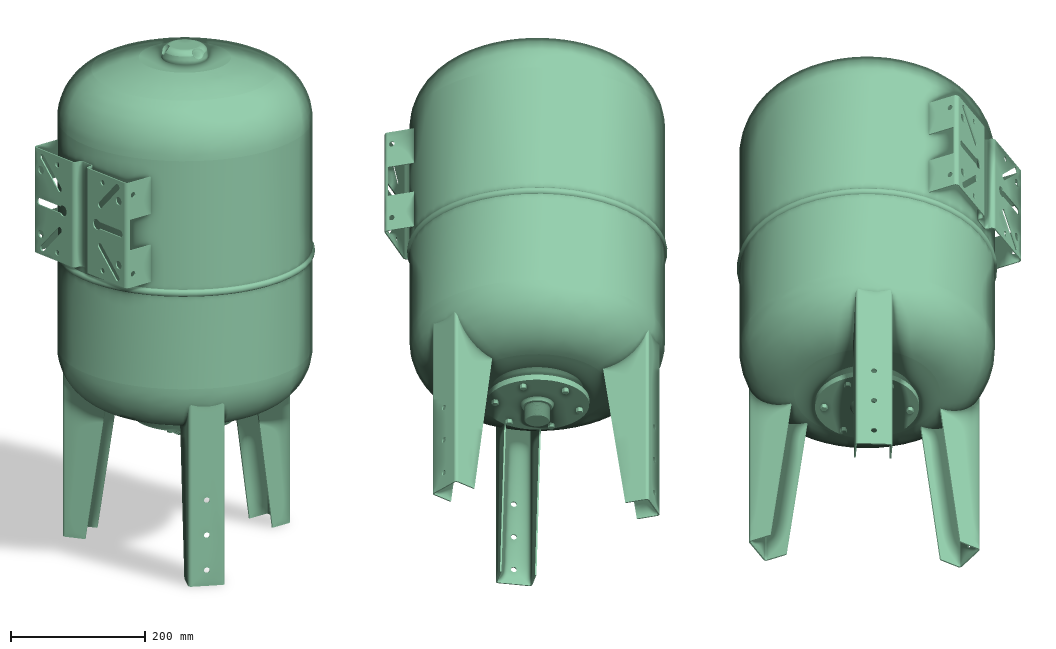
import cadquery as cq

TANK_DIAMETER = 380.0
TANK_RADIUS = TANK_DIAMETER / 2
UPPER_SHOULDER_Z = 674.0
UPPER_CROWN_RADIUS = 139.0
UPPER_CROWN_Z = 752.0
DOME_FLAT_RADIUS = 69.0
DOME_TOP_Z = 771.0
LOWER_SHOULDER_RADIUS = 81.5
LOWER_SHOULDER_Z = 314.0
TANK_BOTTOM_Z = LOWER_SHOULDER_Z - LOWER_SHOULDER_RADIUS
SEAM_Z = 465.5
SEAM_HALF_HEIGHT = 5.5
SEAM_RADIUS = 194.0

CAP_TOP_Z = 790.5
CAP_BASE_RADIUS = 35.0
CAP_EDGE_RADIUS = 33.0
CAP_EDGE_Z = 783.0
CAP_ROUND_RADIUS = 30.0
CAP_ROUND_Z = 787.0
CAP_TOP_RADIUS = 22.0
SCOOP_COUNT = 3
SCOOP_RADIUS = 14.0
SCOOP_DISTANCE = 38.0

LEG_COUNT = 3
FIRST_LEG_ANGLE = 90
LEG_WIDTH = 55.0
LEG_OUTER_DISTANCE = 184.0
LEG_FOOT_DEPTH = 36.0
LEG_TAPER_RUN = 35.0
LEG_BLANK_HEIGHT = 300
LEG_SHEET = 2.0
LEG_BEND_RADIUS = 5.0
LEG_HOLE_DIAMETER = 9.0
LEG_HOLE_COUNT = 3
LEG_LOWEST_HOLE_Z = 24.5
LEG_HOLE_PITCH = 55.0

BRACKET_WIDTH = 215.0
BRACKET_HEIGHT = 166
BRACKET_CENTRE_Z = 564.0
BRACKET_FRONT_Y = -205.0
BRACKET_BACK_Y = -142
BRACKET_SHEET = 2.0
BRACKET_BEND_RADIUS = 6.0
CHANNEL_WIDTH = 25.0
CHANNEL_BEND_RADIUS = 4.0
CHANNEL_FLOOR_Y = -191.0
WINDOW_HEIGHT = 49.0
SIDE_HOLE_DIAMETER = 9.0
SIDE_HOLE_Y = -192.0
SIDE_HOLE_RISE = 62.5
SMALL_HOLE_DIAMETER = 9.0
SMALL_HOLE_X = 52.0
SMALL_HOLE_RISE = 69.5
LARGE_HOLE_DIAMETER = 13.0
LARGE_HOLE_X = 89.0
LARGE_HOLE_RISE = 50.5
DIAGONAL_SLOT_WIDTH = 9.5
DIAGONAL_SLOT_ANGLE = 45
DIAGONAL_SLOT_LENGTH = 66.0
DIAGONAL_SLOT_X = 66.5
DIAGONAL_SLOT_RISE = 52.0
KEYHOLE_DIAMETER = 16.5
KEYHOLE_X = 39.0
KEYHOLE_SLOT_WIDTH = 11.0
KEYHOLE_SLOT_END_X = 92.5

NECK_RADIUS = 54.0
NECK_FLARE_MID_RADIUS = 59.0
NECK_FLARE_MID_Z = 223.0
FLANGE_RADIUS = 77.5
COLLAR_TOP_Z = 215.0
COVER_TOP_Z = 209.0
COVER_BOTTOM_Z = 206.0
BOLT_COUNT = 6
BOLT_CIRCLE_RADIUS = 64.0
BOLT_DIAMETER = 6.0
BOLT_TOP_Z = 220.5
BOLT_HEAD_SIDES = 6
BOLT_HEAD_WIDTH = 10.0
BOLT_HEAD_HEIGHT = 6.0
BOSS_RADIUS = 25.0
BOSS_LOWER_RADIUS = 22.0
BOSS_BOTTOM_Z = 201.5
THREAD_RADIUS = 19.0
THREAD_DEPTH = 1.5
THREAD_PITCH = 1.9
THREAD_TURNS = 12


def disc(radius, bottom_z, top_z):
    return cq.Workplane("XY").workplane(offset=bottom_z).circle(radius).extrude(top_z - bottom_z)


def revolve_about_z(profile):
    return profile.close().revolve(360, (0, 0, 0), (0, 1, 0))


def make_tank():
    profile = (
        cq.Workplane("XZ")
        .moveTo(0, TANK_BOTTOM_Z)
        .lineTo(TANK_RADIUS - LOWER_SHOULDER_RADIUS, TANK_BOTTOM_Z)
        .tangentArcPoint((TANK_RADIUS, LOWER_SHOULDER_Z), relative=False)
        .lineTo(TANK_RADIUS, SEAM_Z - SEAM_HALF_HEIGHT)
        .threePointArc((SEAM_RADIUS, SEAM_Z), (TANK_RADIUS, SEAM_Z + SEAM_HALF_HEIGHT))
        .lineTo(TANK_RADIUS, UPPER_SHOULDER_Z)
        .tangentArcPoint((UPPER_CROWN_RADIUS, UPPER_CROWN_Z), relative=False)
        .tangentArcPoint((DOME_FLAT_RADIUS, DOME_TOP_Z), relative=False)
        .lineTo(0, DOME_TOP_Z)
    )
    return revolve_about_z(profile)


def make_cap():
    profile = (
        cq.Workplane("XZ")
        .moveTo(0, DOME_TOP_Z)
        .lineTo(CAP_BASE_RADIUS, DOME_TOP_Z)
        .lineTo(CAP_EDGE_RADIUS, CAP_EDGE_Z)
        .threePointArc((CAP_ROUND_RADIUS, CAP_ROUND_Z), (CAP_TOP_RADIUS, CAP_TOP_Z))
        .lineTo(0, CAP_TOP_Z)
    )
    cap = revolve_about_z(profile)
    scoops = (
        cq.Workplane("XY")
        .workplane(offset=CAP_TOP_Z)
        .polarArray(SCOOP_DISTANCE, 0, 360, SCOOP_COUNT)
        .sphere(SCOOP_RADIUS, combine=False)
    )
    return cap.cut(scoops)


def make_leg(angle, tank):
    inner_slope = LEG_TAPER_RUN / TANK_BOTTOM_Z
    foot_x = LEG_OUTER_DISTANCE - LEG_FOOT_DEPTH
    top_x = foot_x - inner_slope * LEG_BLANK_HEIGHT
    leg = (
        cq.Workplane("XZ")
        .polyline([
            (LEG_OUTER_DISTANCE, 0),
            (foot_x, 0),
            (top_x, LEG_BLANK_HEIGHT),
            (LEG_OUTER_DISTANCE, LEG_BLANK_HEIGHT),
        ])
        .close()
        .extrude(LEG_WIDTH / 2, both=True)
        .edges("|Z and >X")
        .fillet(LEG_BEND_RADIUS)
    )
    hollow = (
        cq.Workplane("XY")
        .box(
            LEG_OUTER_DISTANCE - LEG_SHEET,
            LEG_WIDTH - 2 * LEG_SHEET,
            LEG_BLANK_HEIGHT,
            centered=(False, True, False),
        )
        .edges("|Z and >X")
        .fillet(LEG_BEND_RADIUS - LEG_SHEET)
    )
    hole_heights = [LEG_LOWEST_HOLE_Z + i * LEG_HOLE_PITCH for i in range(LEG_HOLE_COUNT)]
    holes = (
        cq.Workplane("YZ")
        .pushPoints([(0, z) for z in hole_heights])
        .circle(LEG_HOLE_DIAMETER / 2)
        .extrude(LEG_OUTER_DISTANCE)
    )
    leg = leg.cut(hollow).cut(holes)
    return leg.rotate((0, 0, 0), (0, 0, 1), angle).cut(tank)


def make_bracket_sheet():
    half_width = BRACKET_WIDTH / 2
    half_channel = CHANNEL_WIDTH / 2
    bottom_z = BRACKET_CENTRE_Z - BRACKET_HEIGHT / 2
    block = (
        cq.Workplane("XY")
        .workplane(offset=bottom_z)
        .polyline([
            (-half_width, BRACKET_BACK_Y),
            (-half_width, BRACKET_FRONT_Y),
            (-half_channel, BRACKET_FRONT_Y),
            (-half_channel, CHANNEL_FLOOR_Y),
            (half_channel, CHANNEL_FLOOR_Y),
            (half_channel, BRACKET_FRONT_Y),
            (half_width, BRACKET_FRONT_Y),
            (half_width, BRACKET_BACK_Y),
        ])
        .close()
        .extrude(BRACKET_HEIGHT)
    )
    block = block.edges("|Z and <Y").fillet(BRACKET_BEND_RADIUS)
    channel_floor = cq.selectors.BoxSelector(
        (-CHANNEL_WIDTH, CHANNEL_FLOOR_Y - BRACKET_SHEET, bottom_z),
        (CHANNEL_WIDTH, CHANNEL_FLOOR_Y + BRACKET_SHEET, bottom_z + BRACKET_HEIGHT),
    )
    block = block.edges("|Z").edges(channel_floor).fillet(CHANNEL_BEND_RADIUS)
    core = (
        block.faces("<Z")
        .wires()
        .toPending()
        .offset2D(-BRACKET_SHEET)
        .extrude(BRACKET_HEIGHT, combine=False)
    )
    return block.cut(core)


def bracket_face(x, rise):
    """Sketch plane facing the tank axis, centred at x and at a height above the bracket centre."""
    return cq.Workplane("XZ", origin=(x, 0, BRACKET_CENTRE_Z + rise))


def plate_hole(x, rise, diameter):
    return bracket_face(x, rise).circle(diameter / 2).extrude(-BRACKET_FRONT_Y)


def plate_slot(x, rise, length, width, angle):
    return bracket_face(x, rise).slot2D(length, width, angle).extrude(-BRACKET_FRONT_Y)


def make_bracket_cutters():
    """Holes and slots of the front plate, mirrored left to right and top to bottom."""
    keyhole_slot_x = (KEYHOLE_X + KEYHOLE_SLOT_END_X) / 2
    keyhole_slot_length = KEYHOLE_SLOT_END_X - KEYHOLE_X + KEYHOLE_SLOT_WIDTH
    cutters = []
    for side in (-1, 1):
        cutters += [
            plate_hole(side * KEYHOLE_X, 0, KEYHOLE_DIAMETER),
            plate_slot(side * keyhole_slot_x, 0, keyhole_slot_length, KEYHOLE_SLOT_WIDTH, 0),
        ]
        for level in (-1, 1):
            slot_angle = side * level * DIAGONAL_SLOT_ANGLE
            slot_x = side * DIAGONAL_SLOT_X
            slot_rise = level * DIAGONAL_SLOT_RISE
            cutters += [
                plate_hole(side * SMALL_HOLE_X, level * SMALL_HOLE_RISE, SMALL_HOLE_DIAMETER),
                plate_hole(side * LARGE_HOLE_X, level * LARGE_HOLE_RISE, LARGE_HOLE_DIAMETER),
                plate_slot(slot_x, slot_rise, DIAGONAL_SLOT_LENGTH, DIAGONAL_SLOT_WIDTH, slot_angle),
            ]
    return cutters


def make_bracket(tank):
    bracket = make_bracket_sheet()
    for cutter in make_bracket_cutters():
        bracket = bracket.cut(cutter)
    half_width = BRACKET_WIDTH / 2
    side_holes = (
        cq.Workplane("YZ", origin=(-half_width, 0, 0))
        .pushPoints([(SIDE_HOLE_Y, BRACKET_CENTRE_Z + level * SIDE_HOLE_RISE) for level in (-1, 1)])
        .circle(SIDE_HOLE_DIAMETER / 2)
        .extrude(BRACKET_BEND_RADIUS)
    )
    side_holes = side_holes.union(side_holes.mirror("YZ"))
    window_depth = BRACKET_BACK_Y - BRACKET_FRONT_Y - BRACKET_BEND_RADIUS
    windows = (
        cq.Workplane("XY", origin=(0, BRACKET_BACK_Y - window_depth / 2, BRACKET_CENTRE_Z))
        .pushPoints([(-half_width, 0), (half_width, 0)])
        .box(2 * BRACKET_BEND_RADIUS, window_depth, WINDOW_HEIGHT)
    )
    return bracket.cut(side_holes).cut(windows).cut(tank)


def bolt_positions(height):
    return cq.Workplane("XY").workplane(offset=height).polarArray(BOLT_CIRCLE_RADIUS, 0, 360, BOLT_COUNT)


def make_bolt_shanks():
    return bolt_positions(COVER_BOTTOM_Z).circle(BOLT_DIAMETER / 2).extrude(BOLT_TOP_Z - COVER_BOTTOM_Z)


def make_neck():
    flared_neck = revolve_about_z(
        cq.Workplane("XZ")
        .moveTo(0, COLLAR_TOP_Z)
        .lineTo(NECK_RADIUS, COLLAR_TOP_Z)
        .threePointArc((NECK_FLARE_MID_RADIUS, NECK_FLARE_MID_Z), (DOME_FLAT_RADIUS, TANK_BOTTOM_Z))
        .lineTo(0, TANK_BOTTOM_Z)
    )
    collar = disc(FLANGE_RADIUS, COVER_TOP_Z, COLLAR_TOP_Z)
    return flared_neck.union(collar).cut(make_bolt_shanks())


def make_cover():
    """Cover flange together with its ring of bolts."""
    heads = (
        bolt_positions(COVER_BOTTOM_Z - BOLT_HEAD_HEIGHT)
        .polygon(BOLT_HEAD_SIDES, BOLT_HEAD_WIDTH)
        .extrude(BOLT_HEAD_HEIGHT)
    )
    return disc(FLANGE_RADIUS, COVER_BOTTOM_Z, COVER_TOP_Z).union(make_bolt_shanks()).union(heads)


def make_connection():
    """Boss and threaded stub; the thread is a row of ring-shaped ridges."""
    root_radius = THREAD_RADIUS - THREAD_DEPTH
    profile = (
        cq.Workplane("XZ")
        .moveTo(0, COVER_BOTTOM_Z)
        .lineTo(BOSS_RADIUS, COVER_BOTTOM_Z)
        .lineTo(BOSS_LOWER_RADIUS, BOSS_BOTTOM_Z)
        .lineTo(root_radius, BOSS_BOTTOM_Z)
    )
    for turn in range(THREAD_TURNS):
        root_z = BOSS_BOTTOM_Z - turn * THREAD_PITCH
        profile = profile.lineTo(THREAD_RADIUS, root_z - THREAD_PITCH / 2)
        profile = profile.lineTo(root_radius, root_z - THREAD_PITCH)
    profile = profile.lineTo(0, BOSS_BOTTOM_Z - THREAD_TURNS * THREAD_PITCH)
    return revolve_about_z(profile)


tank = make_tank()
cap = make_cap()
legs = [make_leg(FIRST_LEG_ANGLE + i * 360 / LEG_COUNT, tank) for i in range(LEG_COUNT)]
bracket = make_bracket(tank)
neck = make_neck()
cover = make_cover()
connection = make_connection()

result = cq.Compound.makeCompound([
    tank.val(),
    cap.val(),
    *[leg.val() for leg in legs],
    bracket.val(),
    neck.val(),
    cover.val(),
    connection.val(),
])